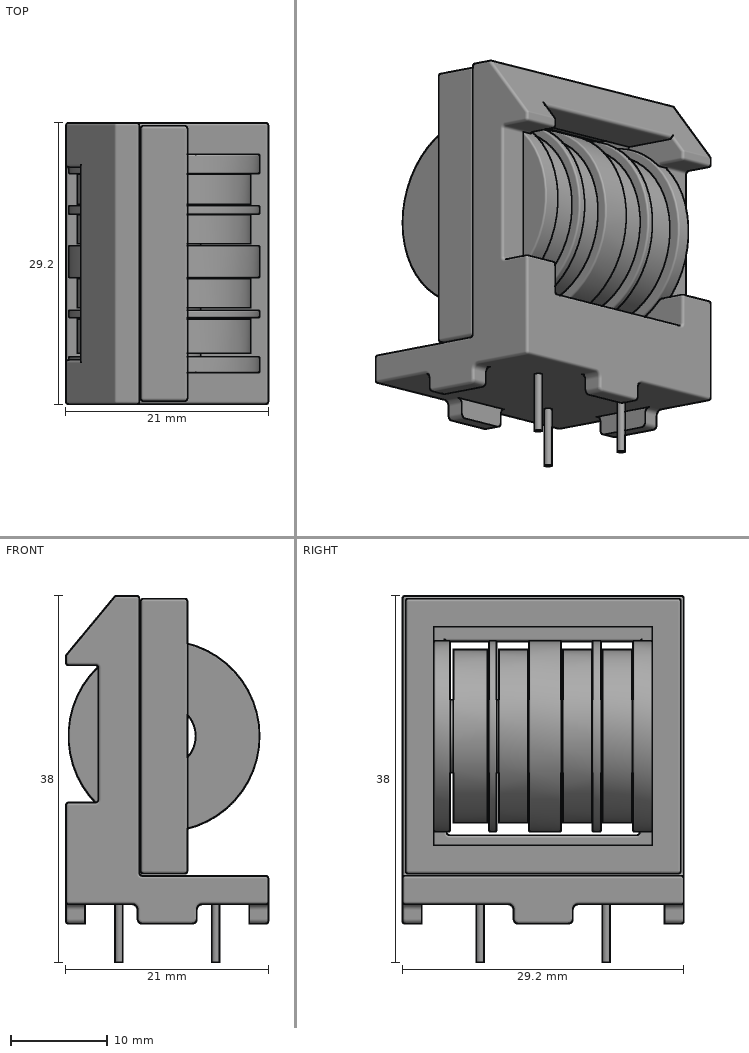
import cadquery as cq


total_height = 38.0

housing_length = 21.0
housing_width = 29.2
housing_height = 32.0
base_thickness = 2.95
plate_back = 7.65
recess_depth = 3.4
recess_floor = 10.55
hook_underside = 24.78
hook_nose_top = 25.8
ridge_setback = 5.13
window_width = 20.0
window_bottom = 7.2
window_top = 27.25
housing_round = 0.3

foot_length = 6.15
foot_depth = 2.0
foot_height = 2.0
foot_root_round = 0.57
foot_corner_round = 0.5

pin_diameter = 0.85
pin_length = total_height - housing_height
pin_x = 5.0
pin_y = 6.55
pin_places = [(-pin_x, -pin_y), (pin_x, -pin_y), (-pin_x, pin_y)]

core_size = 28.55
core_thickness = 4.85
core_gap = 0.1
core_round = 0.3

bobbin_length = 22.65
bobbin_end = bobbin_length / 2
flange_radius = 9.9
winding_radius = 9.0
hub_radius = 3.8
bore_radius = 3.25
flange_round = 0.2
axis_height = 17.45

flange_spans = [(-bobbin_end, -9.65), (-5.62, -4.83), (-1.5, 1.85), (5.1, 6.0), (9.3, bobbin_end)]
winding_spans = [(-9.3, -5.78), (-4.6, -1.6), (2.05, 5.05), (6.15, 9.25)]

tolerance = 0.005

front = -housing_length / 2
back = housing_length / 2
core_front = front + plate_back + core_gap
axis_x = core_front + core_thickness / 2


def y_cylinder(radius, y_start, y_end):
    """Cylinder on the bobbin axis between two Y positions."""
    plane = cq.Workplane("XZ", origin=(axis_x, y_start, axis_height))
    return plane.circle(radius).extrude(-(y_end - y_start))


def near(value, target):
    return abs(value - target) < tolerance


def runs_along_foot_side(edge, height):
    """Whether an edge at a given height bounds one of the two sides of a foot."""
    box = edge.BoundingBox()
    middle = box.center
    along_x = near(box.xlen, foot_depth) and near(abs(middle.y), foot_length / 2)
    along_y = near(box.ylen, foot_depth) and near(abs(middle.x), foot_length / 2)
    return near(middle.z, height) and (along_x or along_y)


def stays_sharp(edge):
    """Whether an edge belongs to a foot's inner face or is an upper corner of the window."""
    box = edge.BoundingBox()
    middle = box.center
    faces_x = near(box.xlen, 0) and near(abs(middle.x), housing_length / 2 - foot_depth)
    faces_y = near(box.ylen, 0) and near(abs(middle.y), housing_width / 2 - foot_depth)
    on_foot = middle.z < tolerance and (faces_x or faces_y)
    window_corner = near(box.ylen, 0) and near(abs(middle.y), window_width / 2) and near(box.zlen, 0)
    return on_foot or (window_corner and near(middle.z, window_top))


def make_housing_block():
    """Upright plate with its hook, and the base, as one outline along Y."""
    profile = [
        (front, 0),
        (back, 0),
        (back, base_thickness),
        (front + plate_back, base_thickness),
        (front + plate_back, housing_height),
        (front + ridge_setback, housing_height),
        (front, hook_nose_top),
        (front, hook_underside),
        (front + recess_depth, hook_underside),
        (front + recess_depth, recess_floor),
        (front, recess_floor),
    ]
    return cq.Workplane("XZ").polyline(profile).close().extrude(housing_width / 2, both=True)


def add_feet(body):
    for side in (-1, 1):
        end_foot = cq.Workplane("XY").box(foot_depth, foot_length, foot_height)
        end_x = side * (housing_length - foot_depth) / 2
        body = body.union(end_foot.translate((end_x, 0, -foot_height / 2)))

        side_foot = cq.Workplane("XY").box(foot_length, foot_depth, foot_height)
        side_y = side * (housing_width - foot_depth) / 2
        body = body.union(side_foot.translate((0, side_y, -foot_height / 2)))
    return body


def cut_window(body):
    window_height = window_top - window_bottom
    window = cq.Workplane("XY").box(plate_back, window_width, window_height)
    window_x = front + plate_back / 2
    return body.cut(window.translate((window_x, 0, window_bottom + window_height / 2)))


def make_housing():
    body = cut_window(add_feet(make_housing_block()))
    for height, radius in ((0, foot_root_round), (-foot_height, foot_corner_round)):
        side_edges = [edge for edge in body.edges().vals() if runs_along_foot_side(edge, height)]
        body = body.newObject(side_edges).fillet(radius)
    body = body.edges().filter(lambda edge: not stays_sharp(edge)).fillet(housing_round)

    return body.cut(y_cylinder(flange_radius, -bobbin_end, bobbin_end))


def make_core():
    block = cq.Workplane("XY").box(core_thickness, core_size, core_size)
    block = block.translate((axis_x, 0, axis_height)).edges().fillet(core_round)
    opening = cq.Workplane("XY").box(core_thickness, bobbin_length, bobbin_length)
    frame = block.cut(opening.translate((axis_x, 0, axis_height)))
    leg = y_cylinder(core_thickness / 2, -bobbin_end, bobbin_end)
    return frame.union(leg)


def make_bobbin():
    body = y_cylinder(hub_radius, -bobbin_end, bobbin_end)
    for start, end in flange_spans:
        body = body.union(y_cylinder(flange_radius, start, end).edges().fillet(flange_round))
    for start, end in winding_spans:
        body = body.union(y_cylinder(winding_radius, start, end))
    return body.cut(y_cylinder(bore_radius, -bobbin_end, bobbin_end))


def make_pin(x, y):
    return cq.Workplane("XY", origin=(x, y, 0)).circle(pin_diameter / 2).extrude(-pin_length)


housing = make_housing()
core = make_core()
bobbin = make_bobbin()
pins = [make_pin(x, y) for x, y in pin_places]

result = cq.Compound.makeCompound([housing.val(), core.val(), bobbin.val(), *[pin.val() for pin in pins]])